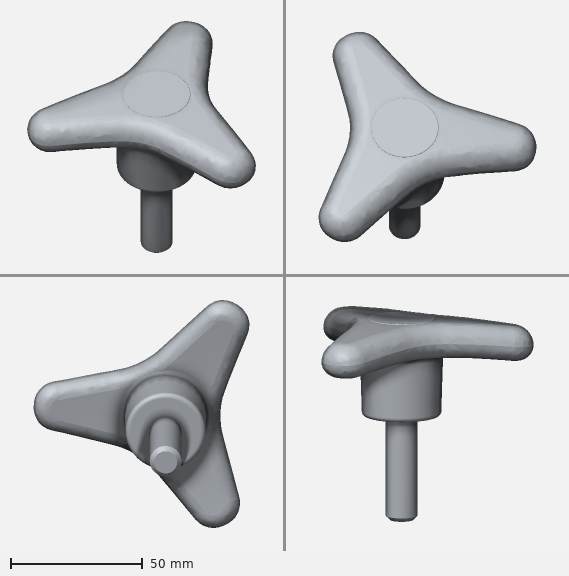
import cadquery as cq
import math

knob_height = 37.6
hub_base_diameter = 30.1
hub_top_diameter = 32.1
hub_base_fillet = 1.8
hub_neck_fillet = 1.6
stem_diameter = 12.0
stem_length = 40.1
stem_chamfer = 1.6

arm_count = 3
end_corner_radius = 9.05
end_flat_width = 1.2
end_centre_distance = 40.95
waist_distance = 20.9
waist_radius = 30.9
dome_radius = 340.5
handle_thickness = 12.9
top_fillet = 7.7
underside_fillet = 5.6

disc_diameter = 25.6
disc_edge_chamfer = 0.2

arm_step = 360.0 / arm_count


def polar(distance, degrees):
    """Vector in the XY plane from a distance and a direction."""
    angle = math.radians(degrees)
    return cq.Vector(distance * math.cos(angle), distance * math.sin(angle))


def turned(point, degrees):
    """Point turned around the Z axis, as an (x, y) pair."""
    direction = math.degrees(math.atan2(point.y, point.x))
    moved = polar(point.Length, direction + degrees)
    return (moved.x, moved.y)


def handle_outline():
    """Arms with rounded ends, joined by concave arcs tangent to the straight flanks."""
    waist_direction = arm_step / 2
    corner_centre = cq.Vector(end_centre_distance, end_flat_width / 2)
    waist_centre = polar(waist_distance + waist_radius, waist_direction)

    between = waist_centre - corner_centre
    centre_angle = math.degrees(math.atan2(between.y, between.x))
    tangent_angle = math.degrees(math.acos((end_corner_radius + waist_radius) / between.Length))
    normal_angle = centre_angle - tangent_angle

    tip = corner_centre + polar(end_corner_radius, 0)
    corner_middle = corner_centre + polar(end_corner_radius, normal_angle / 2)
    flank_outer = corner_centre + polar(end_corner_radius, normal_angle)
    flank_inner = waist_centre - polar(waist_radius, normal_angle)
    waist = polar(waist_distance, waist_direction)

    def mirrored(point):
        return cq.Vector(point.x, -point.y)

    outline = cq.Workplane("XY").moveTo(tip.x, -tip.y)
    for arm in range(arm_count):
        turn = arm * arm_step
        next_turn = turn + arm_step
        outline = outline.lineTo(*turned(tip, turn))
        outline = outline.threePointArc(turned(corner_middle, turn), turned(flank_outer, turn))
        outline = outline.lineTo(*turned(flank_inner, turn))
        outline = outline.threePointArc(turned(waist, turn), turned(mirrored(flank_inner), next_turn))
        outline = outline.lineTo(*turned(mirrored(flank_outer), next_turn))
        outline = outline.threePointArc(
            turned(mirrored(corner_middle), next_turn), turned(mirrored(tip), next_turn)
        )
    return outline.close()


def ball(radius):
    """Ball around the common centre of the two domes, below the knob on the Z axis."""
    return cq.Workplane("XZ").sphere(radius).translate((0, 0, knob_height - dome_radius))


def handle():
    """Outline cut between the domes, then rounded over from above and below."""
    body = handle_outline().extrude(knob_height)
    body = body.intersect(ball(dome_radius)).cut(ball(dome_radius - handle_thickness))
    body = body.faces("%SPHERE").faces(">Z").edges().fillet(top_fillet)
    return body.faces("%SPHERE").faces("<Z").edges().fillet(underside_fillet)


def disc():
    """Flat plug whose top is level with the dome apex, so its rim stands slightly proud."""
    return (
        cq.Workplane("XY", origin=(0, 0, knob_height))
        .circle(disc_diameter / 2).extrude(-handle_thickness / 2)
        .faces(">Z").chamfer(disc_edge_chamfer)
    )


def hub():
    """Tapered hub reaching up into the middle of the handle."""
    height = knob_height - handle_thickness / 2
    flare = (hub_top_diameter - hub_base_diameter) / 2
    return (
        cq.Workplane("XY").circle(hub_base_diameter / 2)
        .extrude(height, taper=-math.degrees(math.atan2(flare, height)))
        .faces("<Z").edges().fillet(hub_base_fillet)
    )


def stem():
    return (
        cq.Workplane("XY").circle(stem_diameter / 2).extrude(-stem_length)
        .faces("<Z").chamfer(stem_chamfer)
    )


def knob():
    """Handle and hub joined, with a fillet where the hub wall meets the handle."""
    joined = handle().union(hub())
    neck_zone = cq.selectors.BoxSelector(
        (-hub_top_diameter, -hub_top_diameter, knob_height / 2),
        (hub_top_diameter, hub_top_diameter, knob_height),
    )
    return joined.faces("%CONE").edges(neck_zone).fillet(hub_neck_fillet)


result = knob().union(disc()).union(stem())